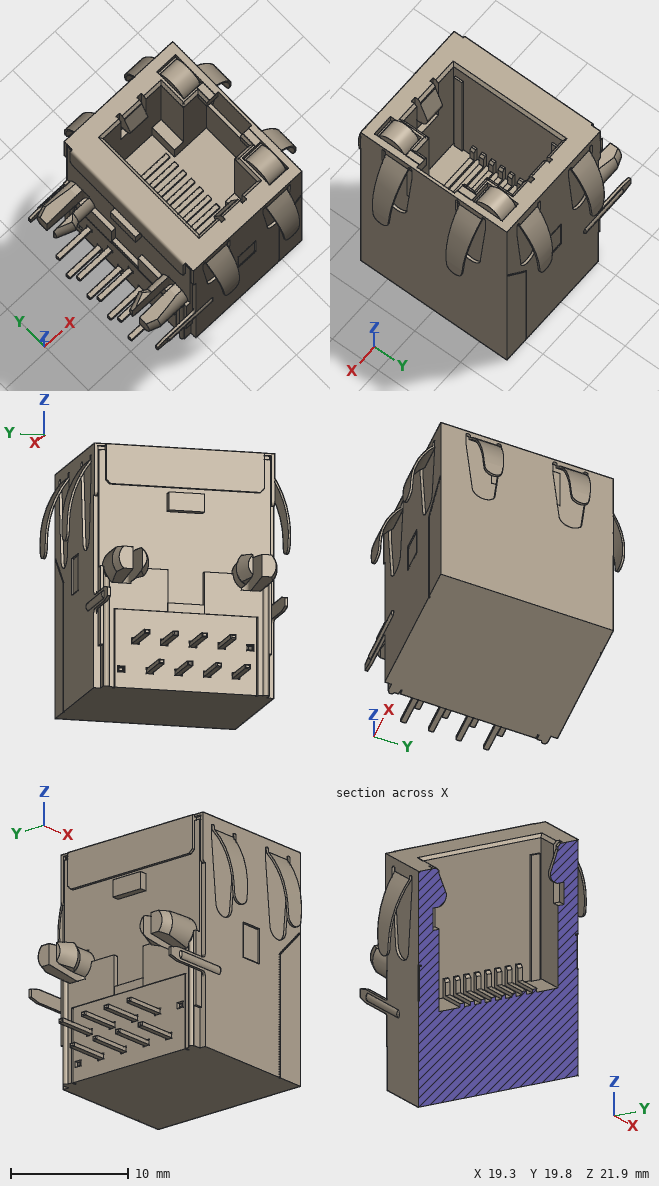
import cadquery as cq
import math


TOP_Z = 21.35
FRONT_X = 13.51
HALF_WIDTH = 7.97
SHEET = 0.26
SHELL_EDGE_X = 0.96
LIP_BOTTOM_Z = 16.8
LIP_RADIUS = 0.28

HOUSING_FACE_X = 0.68
HOUSING_HALF_WIDTH = 7.58
HOUSING_GAP = 0.1
BASE_FACE_X = 0.22
BASE_TOP_Z = 10.53
BASE_STEP_Z = 3.68
BASE_LOWER_HALF_WIDTH = 7.35
BASE_NOTCH_HALF_WIDTH = 1.62
BASE_NOTCH_BOTTOM_Z = 7.65
INSERT_HALF_WIDTH = 6.37
INSERT_TOP_Z = 6.85
INSERT_RECESS = 0.07
INSERT_GROOVE = 0.1
RIB_INNER_Y = 6.79
RIB_OUTER_Y = 7.31
RIB_RAMP_Z = 9.5

FLAP_HALF_WIDTH = 6.99
FLAP_BOTTOM_Z = 17.83
FLAP_CORNER = 0.35
FLAP_FOLD_RADIUS = 0.25
RELIEF_BOTTOM_Z = 20.8
RELIEF_TOP_Z = 21.15
TAB_HALF_WIDTH = 1.55
TAB_BOTTOM_Z = 15.72
TAB_TOP_Z = 17.3

SPRING_RADIUS = 8.94
SPRING_SHEET = 0.2
SPRING_TANGENT_Z = 14.67
SPRING_BOTTOM_Z = 13.27
SPRING_REACH_SIDE = 9.88 - HALF_WIDTH
SPRING_REACH_FRONT = 15.77 - FRONT_X
SPRING_SIDE_X = (3.42, 10.53)
SPRING_FRONT_Y = (-4.0, 4.0)
SPRING_ROOT_HALF = 1.23
SPRING_TANGENT_HALF = 0.88
SPRING_TIP_HALF = 0.8
SPRING_TIP_Z = 14.05
SLOT_WIDTH = 0.4
SLOT_BEND_Z = 19.35
SLOT_LOWER_HALF = 1.05
SLOT_LOWER_Z = 13.47
SLOT_BOTTOM_Z = 12.55

WINDOW_X = (6.02, 8.08)
WINDOW_Z = (9.64, 12.83)
LATCH_GAP = 0.09
SEAM_X = 10.8
SEAM_BEND_Z = 11.35
SEAM_END = (13.38, 13.97)
SEAM_WIDTH = 0.09

PIN_TIP_X = -3.53
SHELL_PIN_Z = 7.47
SHELL_PIN_HALF = 0.61
SHELL_PIN_TIP_HALF = 0.37
SHELL_PIN_TAPER_X = -2.55
SHELL_PIN_ROOT_RADIUS = 0.35
RIDGE_X = (-2.43, 2.98)
RIDGE_HALF = 0.37
RIDGE_HEIGHT = 0.18
RIDGE_END = 0.15
SIGNAL_PITCH = 2.55
SIGNAL_COUNT = 5
SIGNAL_ROWS = ((4.45, 4.16, 4), (5.72, 1.62, 0))
SIGNAL_WIDTH = 0.48
SIGNAL_THICK = 0.37
SIGNAL_POINT = 0.09
SIGNAL_CUT_X = 0.4
SIGNAL_HOLE_GAP = 0.09

PEG_Y = 5.58
PEG_Z = BASE_TOP_Z
PEG_RADIUS = 1.7
PEG_TIP_RADIUS = 1.35
PEG_TAPER_X = -2.56
PEG_FLAT_ROOT = 1.4
PEG_FLAT_TIP = 0.96
PEG_SLOT = (4.88, 5.72)
PEG_SLOT_X = 0.68
BARB_ROOT_RADIUS = 1.42
BARB_START_X = -1.27
BARB_X = -1.86
BARB_TIP_RADIUS = 1.1

SOCKET_FLOOR_Z = 8.32
SOCKET_BACK_X = 3.33
SOCKET_HALF = 5.91
SOCKET_LED_X = 10.16
KEY_HALF = 3.15
KEY_X = 11.9
LATCH_HALF = 2.05
SOCKET_FRONT_X = 13.23
SOCKET_BEVEL = 0.28
LUG_BOTTOM_Z = 20.04
LUG_TOP_DROP = 0.13
LUG_OUTER_Y = 3.61
FRONT_LEDGE_X = 12.88
FRONT_LEDGE_Z = 15.55
PLUG_STOP_X = 9.1
PLUG_STOP_Z = 10.51
BACK_RIB_Y = (4.86, 5.74)
BACK_RIB_DEPTH = 0.18
BACK_RIB_TOP_Z = 19.7

CLIP_X = (5.83, 7.88)
CLIP_TOP_Y = 6.05
CLIP_TOP_Z = 21.15
CLIP_CREST_Y = 5.17
CLIP_CREST_Z = 18.83
CLIP_BOTTOM_Z = 17.74
CLIP_CURL = 0.09
CLIP_POCKET_X = (5.43, 8.39)
CLIP_POCKET_Y = 6.5
CLIP_POCKET_BOTTOM_Z = 15.77

CONTACT_COUNT = 8
CONTACT_PITCH = 1.03
CONTACT_WIDTH = 0.45
CONTACT_END_X = 8.78
CONTACT_LEG_X = 3.75
CONTACT_CHAMFER_X = 3.5
CONTACT_THICK = 0.33
CONTACT_LEG_HEIGHT = 1.75

LAMP_X = (10.77, 12.75)
LAMP_Y = 5.28
LAMP_RADIUS = 1.53
LAMP_TOP_Z = 21.9
LAMP_POCKET_X = (10.69, 12.88)
LAMP_POCKET_Y = (3.61, 6.96)
LAMP_POCKET_BOTTOM_Z = 20.65

OVERLAP = 0.1


def block(x_range, y_range, z_range):
    """Box spanning the given X, Y and Z ranges."""
    ranges = (x_range, y_range, z_range)
    sizes = [high - low for low, high in ranges]
    lows = [low for low, high in ranges]
    return cq.Workplane("XY").box(*sizes, centered=False).translate(tuple(lows))


def both_sides(solid):
    """The solid together with its mirror image across Y = 0."""
    return solid.union(solid.mirror("XZ"))


def side_plate(outline, y_range):
    """Extrude an outline drawn on the XZ plane so that it spans the Y range."""
    return outline.extrude(y_range[0] - y_range[1]).translate((0, y_range[0], 0))


def make_shell_and_housing():
    side_y = (-HALF_WIDTH, HALF_WIDTH)
    housing_y = (-HOUSING_HALF_WIDTH, HOUSING_HALF_WIDTH)
    housing_x = (HOUSING_FACE_X, SHELL_EDGE_X + OVERLAP)
    body = block((SHELL_EDGE_X, FRONT_X), side_y, (0, TOP_Z))
    lip = block(housing_x, side_y, (LIP_BOTTOM_Z, TOP_Z))
    lip = lip.edges("|Y and <X and <Z").fillet(LIP_RADIUS)
    body = body.union(lip).union(block(housing_x, housing_y, (0, TOP_Z)))
    gap_y = (HOUSING_HALF_WIDTH, HOUSING_HALF_WIDTH + HOUSING_GAP)
    gap = block((HOUSING_FACE_X, SHELL_EDGE_X), gap_y, (0, RELIEF_TOP_Z))
    lower_gap_y = (BASE_LOWER_HALF_WIDTH, HOUSING_HALF_WIDTH)
    gap = gap.union(block((HOUSING_FACE_X, SHELL_EDGE_X), lower_gap_y, (0, BASE_STEP_Z)))
    return body.cut(both_sides(gap))


def make_base():
    """Lower housing block on the board side, with the pin insert set into it."""
    base_x = (BASE_FACE_X, SHELL_EDGE_X + OVERLAP)
    upper_y = (-HOUSING_HALF_WIDTH, HOUSING_HALF_WIDTH)
    lower_y = (-BASE_LOWER_HALF_WIDTH, BASE_LOWER_HALF_WIDTH)
    base = block(base_x, upper_y, (BASE_STEP_Z, BASE_TOP_Z))
    base = base.union(block(base_x, lower_y, (0, BASE_STEP_Z)))

    notch_y = (-BASE_NOTCH_HALF_WIDTH, BASE_NOTCH_HALF_WIDTH)
    notch = block((BASE_FACE_X, HOUSING_FACE_X), notch_y, (BASE_NOTCH_BOTTOM_Z, BASE_TOP_Z))
    insert_y = (-INSERT_HALF_WIDTH, INSERT_HALF_WIDTH)
    recess = block((BASE_FACE_X, BASE_FACE_X + INSERT_RECESS), insert_y, (0, INSERT_TOP_Z))
    groove_y = (INSERT_HALF_WIDTH - INSERT_GROOVE, INSERT_HALF_WIDTH)
    groove = block((BASE_FACE_X, HOUSING_FACE_X), groove_y, (0, INSERT_TOP_Z))
    tongue_z = (INSERT_TOP_Z, BASE_NOTCH_BOTTOM_Z)
    tongue = block((BASE_FACE_X, BASE_FACE_X + INSERT_RECESS / 2), notch_y, tongue_z)
    base = base.cut(notch).cut(tongue).cut(recess).cut(both_sides(groove))

    rib = (
        cq.Workplane("XY")
        .moveTo(BASE_FACE_X + OVERLAP, RIB_INNER_Y)
        .lineTo(BASE_FACE_X, RIB_INNER_Y)
        .threePointArc((0, (RIB_INNER_Y + RIB_OUTER_Y) / 2), (BASE_FACE_X, RIB_OUTER_Y))
        .lineTo(BASE_FACE_X + OVERLAP, RIB_OUTER_Y)
        .close()
        .extrude(BASE_TOP_Z)
    )
    ramp = (
        cq.Workplane("XZ")
        .polyline([(0, RIB_RAMP_Z), (BASE_FACE_X, BASE_TOP_Z), (0, BASE_TOP_Z)])
        .close()
    )
    rib = rib.cut(side_plate(ramp, (RIB_INNER_Y, RIB_OUTER_Y)))
    return base.union(both_sides(rib))


def make_flap():
    """Sheet folded down over the board side, rounded at the fold."""
    flap_x = (HOUSING_FACE_X - SHEET, HOUSING_FACE_X + OVERLAP)
    flap = block(flap_x, (-FLAP_HALF_WIDTH, FLAP_HALF_WIDTH), (FLAP_BOTTOM_Z, TOP_Z))
    flap = flap.edges("|X and <Z").chamfer(FLAP_CORNER)
    return flap.edges("|Y and <X and >Z").fillet(FLAP_FOLD_RADIUS)


def make_fold_relief():
    relief_x = (HOUSING_FACE_X, HOUSING_FACE_X + SHEET)
    relief_y = (FLAP_HALF_WIDTH, HOUSING_HALF_WIDTH)
    return both_sides(block(relief_x, relief_y, (RELIEF_BOTTOM_Z, RELIEF_TOP_Z)))


def make_stop_tab():
    tab_x = (0, HOUSING_FACE_X + OVERLAP)
    return block(tab_x, (-TAB_HALF_WIDTH, TAB_HALF_WIDTH), (TAB_BOTTOM_Z, TAB_TOP_Z))


def spring_root_z(reach):
    """Height at which a spring of the given reach leaves the sheet."""
    rise = math.sqrt(SPRING_RADIUS**2 - (SPRING_RADIUS - reach) ** 2)
    return SPRING_TANGENT_Z + rise


def make_spring_slot(reach):
    """Opening around a spring in a sheet whose outer face is Y = 0 and faces -Y."""
    root_z = spring_root_z(reach)
    slot_z = root_z + SLOT_WIDTH / 2
    inner = SPRING_ROOT_HALF
    middle = inner + SLOT_WIDTH / 2
    outer = inner + SLOT_WIDTH
    outline = (
        cq.Workplane("XZ")
        .moveTo(-outer, slot_z)
        .threePointArc((-middle, slot_z + SLOT_WIDTH / 2), (-inner, slot_z))
        .lineTo(-inner, root_z)
        .lineTo(inner, root_z)
        .lineTo(inner, slot_z)
        .threePointArc((middle, slot_z + SLOT_WIDTH / 2), (outer, slot_z))
        .lineTo(outer, SLOT_BEND_Z)
        .lineTo(SLOT_LOWER_HALF, SLOT_LOWER_Z)
        .threePointArc((0, SLOT_BOTTOM_Z), (-SLOT_LOWER_HALF, SLOT_LOWER_Z))
        .lineTo(-outer, SLOT_BEND_Z)
        .close()
    )
    return side_plate(outline, (0, SHEET))


def make_spring(reach):
    """Bowed spring leaving the plane Y = 0 toward -Y, tapering to a rounded tip."""
    inner_radius = SPRING_RADIUS - SPRING_SHEET
    centre_y = SPRING_RADIUS - reach
    start = math.acos(centre_y / SPRING_RADIUS) + SPRING_SHEET / SPRING_RADIUS

    def on_bow(radius, angle):
        return (centre_y - radius * math.cos(angle), SPRING_TANGENT_Z + radius * math.sin(angle))

    bow = (
        cq.Workplane("YZ")
        .moveTo(*on_bow(SPRING_RADIUS, start))
        .threePointArc(on_bow(SPRING_RADIUS, start / 2), on_bow(SPRING_RADIUS, 0))
        .lineTo(-reach, SPRING_BOTTOM_Z)
        .lineTo(-reach + SPRING_SHEET, SPRING_BOTTOM_Z)
        .lineTo(*on_bow(inner_radius, 0))
        .threePointArc(on_bow(inner_radius, start / 2), on_bow(inner_radius, start))
        .close()
        .extrude(SPRING_ROOT_HALF, both=True)
    )
    root_z = spring_root_z(reach)
    tongue = (
        cq.Workplane("XZ")
        .moveTo(-SPRING_ROOT_HALF, TOP_Z)
        .lineTo(SPRING_ROOT_HALF, TOP_Z)
        .lineTo(SPRING_ROOT_HALF, root_z)
        .lineTo(SPRING_TANGENT_HALF, SPRING_TANGENT_Z)
        .lineTo(SPRING_TIP_HALF, SPRING_TIP_Z)
        .threePointArc((0, SPRING_BOTTOM_Z), (-SPRING_TIP_HALF, SPRING_TIP_Z))
        .lineTo(-SPRING_TANGENT_HALF, SPRING_TANGENT_Z)
        .lineTo(-SPRING_ROOT_HALF, root_z)
        .close()
    )
    return bow.intersect(side_plate(tongue, (-reach, SHEET)))


def add_springs(body):
    side_slot = make_spring_slot(SPRING_REACH_SIDE)
    side_spring = make_spring(SPRING_REACH_SIDE)
    for x in SPRING_SIDE_X:
        place = (x, -HALF_WIDTH, 0)
        body = body.cut(both_sides(side_slot.translate(place)))
        body = body.union(both_sides(side_spring.translate(place)))
    front_slot = make_spring_slot(SPRING_REACH_FRONT).rotate((0, 0, 0), (0, 0, 1), 90)
    front_spring = make_spring(SPRING_REACH_FRONT).rotate((0, 0, 0), (0, 0, 1), 90)
    for y in SPRING_FRONT_Y:
        place = (FRONT_X, y, 0)
        body = body.cut(front_slot.translate(place)).union(front_spring.translate(place))
    return body


def make_windows():
    """Latch windows in the side sheets, each filled by a housing latch up to a narrow gap."""
    window_y = (HALF_WIDTH - SHEET, HALF_WIDTH)
    window = block(WINDOW_X, window_y, WINDOW_Z)
    latch_x = (WINDOW_X[0], WINDOW_X[1] - LATCH_GAP)
    latch_z = (WINDOW_Z[0], WINDOW_Z[1] - LATCH_GAP)
    latch = block(latch_x, (window_y[0], HALF_WIDTH - LATCH_GAP), latch_z)
    return both_sides(window.cut(latch))


def make_seams():
    """Narrow groove where the front panel overlaps each side sheet."""
    end_x, end_z = SEAM_END
    outline = (
        cq.Workplane("XZ")
        .moveTo(SEAM_X, 0)
        .lineTo(SEAM_X, SEAM_BEND_Z)
        .lineTo(end_x, end_z)
        .lineTo(end_x, end_z - SEAM_WIDTH * math.sqrt(2))
        .lineTo(SEAM_X + SEAM_WIDTH, SEAM_BEND_Z - SEAM_WIDTH * (math.sqrt(2) - 1))
        .lineTo(SEAM_X + SEAM_WIDTH, 0)
        .close()
    )
    return both_sides(side_plate(outline, (HALF_WIDTH - SEAM_WIDTH, HALF_WIDTH)))


def make_shell_pins():
    """Flat pins cut from the side sheets, each stiffened by a raised ridge."""
    upper = SHELL_PIN_Z + SHELL_PIN_HALF
    lower = SHELL_PIN_Z - SHELL_PIN_HALF
    radius = SHELL_PIN_ROOT_RADIUS
    flare_x = SHELL_EDGE_X - radius
    root_x = SHELL_EDGE_X + OVERLAP
    outline = (
        cq.Workplane("XZ")
        .moveTo(PIN_TIP_X, SHELL_PIN_Z - SHELL_PIN_TIP_HALF)
        .lineTo(PIN_TIP_X, SHELL_PIN_Z + SHELL_PIN_TIP_HALF)
        .lineTo(SHELL_PIN_TAPER_X, upper)
        .lineTo(flare_x, upper)
        .radiusArc((SHELL_EDGE_X, upper + radius), -radius)
        .lineTo(root_x, upper + radius)
        .lineTo(root_x, lower - radius)
        .lineTo(SHELL_EDGE_X, lower - radius)
        .radiusArc((flare_x, lower), -radius)
        .lineTo(SHELL_PIN_TAPER_X, lower)
        .close()
    )
    pin = side_plate(outline, (HALF_WIDTH - SHEET, HALF_WIDTH))
    ridge = (
        cq.Workplane("YZ")
        .moveTo(0, -RIDGE_HALF)
        .threePointArc((RIDGE_HEIGHT, 0), (0, RIDGE_HALF))
        .close()
        .extrude(RIDGE_X[1] - RIDGE_X[0])
        .edges("%CIRCLE")
        .chamfer(RIDGE_END)
        .translate((RIDGE_X[0], HALF_WIDTH, SHELL_PIN_Z))
    )
    return both_sides(pin.union(ridge))


def signal_bar(y, z, x_range, margin=0.0):
    """Bar along X with the section of a signal pin, grown by a margin on all four sides."""
    half_width = SIGNAL_WIDTH / 2 + margin
    half_thick = SIGNAL_THICK / 2 + margin
    return block(x_range, (y - half_width, y + half_width), (z - half_thick, z + half_thick))


def add_signal_pins(body):
    """Two staggered rows of pins standing in clearance holes; one pin of each row is cut off."""
    for first_y, z, cut_off in SIGNAL_ROWS:
        for index in range(SIGNAL_COUNT):
            y = first_y - index * SIGNAL_PITCH
            tip_x = SIGNAL_CUT_X if index == cut_off else PIN_TIP_X
            hole = signal_bar(y, z, (BASE_FACE_X, HOUSING_FACE_X), SIGNAL_HOLE_GAP)
            pin = signal_bar(y, z, (tip_x, HOUSING_FACE_X + OVERLAP))
            body = body.cut(hole).union(pin.faces("<X").chamfer(SIGNAL_POINT))
    return body


def make_pegs():
    """Split pegs: a plain outer half and a barbed, springy inner half, both flattened in Z."""
    root_x = HOUSING_FACE_X + OVERLAP

    def turned(profile):
        points = [(PIN_TIP_X, 0), *profile, (root_x, 0)]
        solid = cq.Workplane("XY").polyline(points).close().revolve(360, (0, 0), (1, 0))
        return solid.translate((0, PEG_Y, PEG_Z))

    plain = turned(
        [(PIN_TIP_X, PEG_TIP_RADIUS), (PEG_TAPER_X, PEG_RADIUS), (root_x, PEG_RADIUS)]
    )
    barbed = turned(
        [
            (PIN_TIP_X, BARB_TIP_RADIUS),
            (BARB_X, PEG_RADIUS),
            (BARB_START_X, BARB_ROOT_RADIUS),
            (root_x, BARB_ROOT_RADIUS),
        ]
    )
    inner_edge, outer_edge = PEG_SLOT
    x_range = (PIN_TIP_X, root_x)
    z_range = (PEG_Z - PEG_RADIUS, PEG_Z + PEG_RADIUS)
    plain = plain.intersect(block(x_range, (outer_edge, PEG_Y + PEG_RADIUS), z_range))
    barbed = barbed.intersect(block(x_range, (PEG_Y - PEG_RADIUS, inner_edge), z_range))
    flats = (
        cq.Workplane("XZ")
        .polyline(
            [
                (PIN_TIP_X, PEG_Z - PEG_FLAT_TIP),
                (PIN_TIP_X, PEG_Z + PEG_FLAT_TIP),
                (0, PEG_Z + PEG_FLAT_ROOT),
                (root_x, PEG_Z + PEG_FLAT_ROOT),
                (root_x, PEG_Z - PEG_FLAT_ROOT),
                (0, PEG_Z - PEG_FLAT_ROOT),
            ]
        )
        .close()
    )
    envelope = side_plate(flats, (PEG_Y - PEG_RADIUS, PEG_Y + PEG_RADIUS))
    return both_sides(plain.union(barbed).intersect(envelope))


def make_peg_slots():
    """The split of each peg carried on into the housing, with a rounded root."""
    inner_edge, outer_edge = PEG_SLOT
    radius = (outer_edge - inner_edge) / 2
    slot = (
        cq.Workplane("XY")
        .workplane(offset=PEG_Z - PEG_FLAT_ROOT)
        .moveTo(0, inner_edge)
        .lineTo(PEG_SLOT_X, inner_edge)
        .threePointArc((PEG_SLOT_X + radius, inner_edge + radius), (PEG_SLOT_X, outer_edge))
        .lineTo(0, outer_edge)
        .close()
        .extrude(2 * PEG_FLAT_ROOT)
    )
    return both_sides(slot)


def make_socket():
    """Bevelled opening for the plug, widened for the plug latch behind two lugs."""
    half_outline = [
        (SOCKET_BACK_X, SOCKET_HALF),
        (SOCKET_LED_X, SOCKET_HALF),
        (SOCKET_LED_X, KEY_HALF),
        (KEY_X, KEY_HALF),
        (KEY_X, LATCH_HALF),
        (SOCKET_FRONT_X, LATCH_HALF),
    ]
    outline = half_outline + [(x, -y) for x, y in reversed(half_outline)]
    depth = TOP_Z - SOCKET_FLOOR_Z
    socket = cq.Workplane("XY").workplane(offset=SOCKET_FLOOR_Z).polyline(outline).close()
    socket = socket.extrude(depth)
    behind_lugs = block(
        (SOCKET_LED_X, SOCKET_FRONT_X), (-KEY_HALF, KEY_HALF), (SOCKET_FLOOR_Z, LUG_BOTTOM_Z)
    )
    ledge = block(
        (FRONT_LEDGE_X, SOCKET_FRONT_X), (-KEY_HALF, KEY_HALF), (SOCKET_FLOOR_Z, FRONT_LEDGE_Z)
    )
    plug_stop = block(
        (PLUG_STOP_X, SOCKET_LED_X), (KEY_HALF, SOCKET_HALF), (SOCKET_FLOOR_Z, PLUG_STOP_Z)
    )
    back_rib = block(
        (SOCKET_BACK_X, SOCKET_BACK_X + BACK_RIB_DEPTH), BACK_RIB_Y, (SOCKET_FLOOR_Z, BACK_RIB_TOP_Z)
    )
    socket = socket.union(behind_lugs).cut(ledge)
    socket = socket.cut(both_sides(plug_stop)).cut(both_sides(back_rib))

    bevel = SOCKET_BEVEL
    rim_half = [
        (SOCKET_BACK_X, SOCKET_HALF),
        (SOCKET_LED_X, SOCKET_HALF),
        (SOCKET_LED_X, KEY_HALF),
        (KEY_X, KEY_HALF),
    ]
    rim = rim_half + [(x, -y) for x, y in reversed(rim_half)]
    mouth = cq.Workplane("XY").workplane(offset=TOP_Z).polyline(rim).close()
    mouth = mouth.offset2D(bevel, "intersection").extrude(-bevel, taper=45)
    lug_top = block(
        (KEY_X + bevel, FRONT_LEDGE_X), (LATCH_HALF, LUG_OUTER_Y), (TOP_Z - LUG_TOP_DROP, TOP_Z)
    )
    return socket.union(mouth).union(both_sides(lug_top))


def make_clip_pockets():
    """Recesses in the two long socket walls around the shield springs, kept solid behind them."""
    pocket = block(CLIP_POCKET_X, (SOCKET_HALF, CLIP_POCKET_Y), (CLIP_POCKET_BOTTOM_Z, TOP_Z))
    backing = block(CLIP_X, (SOCKET_HALF, CLIP_POCKET_Y), (CLIP_BOTTOM_Z, TOP_Z))
    return both_sides(pocket.cut(backing))


def make_clips():
    """Bowed shield springs on the two long walls of the socket."""
    middle_z = (CLIP_CREST_Z + CLIP_BOTTOM_Z) / 2
    outline = (
        cq.Workplane("YZ")
        .moveTo(CLIP_TOP_Y, CLIP_TOP_Z)
        .lineTo(CLIP_CREST_Y, CLIP_CREST_Z)
        .threePointArc((CLIP_CREST_Y + CLIP_CURL, middle_z), (SOCKET_HALF, CLIP_BOTTOM_Z))
        .lineTo(CLIP_TOP_Y, CLIP_BOTTOM_Z)
        .close()
    )
    return both_sides(outline.extrude(CLIP_X[1] - CLIP_X[0]).translate((CLIP_X[0], 0, 0)))


def make_contacts():
    """Row of contacts lying on the socket floor, each with a leg against the back wall."""
    contacts = cq.Workplane("XY")
    bar_top = SOCKET_FLOOR_Z + CONTACT_THICK
    leg_top = SOCKET_FLOOR_Z + CONTACT_LEG_HEIGHT
    leg_shoulder = leg_top - (CONTACT_LEG_X - CONTACT_CHAMFER_X)
    back_x = SOCKET_BACK_X - OVERLAP
    outline = cq.Workplane("XZ").polyline(
        [
            (back_x, SOCKET_FLOOR_Z - OVERLAP),
            (CONTACT_END_X, SOCKET_FLOOR_Z - OVERLAP),
            (CONTACT_END_X, bar_top),
            (CONTACT_LEG_X, bar_top),
            (CONTACT_LEG_X, leg_shoulder),
            (CONTACT_CHAMFER_X, leg_top),
            (back_x, leg_top),
        ]
    )
    contact = side_plate(outline.close(), (-CONTACT_WIDTH / 2, CONTACT_WIDTH / 2))
    for index in range(CONTACT_COUNT):
        y = (index - (CONTACT_COUNT - 1) / 2) * CONTACT_PITCH
        contacts = contacts.union(contact.translate((0, y, 0)))
    return contacts


def make_lamp_pockets():
    pocket = block(LAMP_POCKET_X, LAMP_POCKET_Y, (LAMP_POCKET_BOTTOM_Z, TOP_Z))
    return both_sides(pocket)


def make_lamps():
    """Round-topped indicator lamps standing in their pockets."""
    centre_z = LAMP_TOP_Z - LAMP_RADIUS
    length = LAMP_X[1] - LAMP_X[0]
    dome = cq.Workplane("YZ").circle(LAMP_RADIUS).extrude(length)
    dome = dome.translate((LAMP_X[0], LAMP_Y, centre_z))
    return both_sides(dome)


result = make_shell_and_housing().union(make_base())
result = result.cut(make_fold_relief()).union(make_flap()).union(make_stop_tab())
result = result.cut(make_socket()).cut(make_clip_pockets()).union(make_clips())
result = result.union(make_contacts())
result = result.cut(make_lamp_pockets()).union(make_lamps())
result = result.cut(make_windows()).cut(make_seams())
result = result.union(make_pegs()).cut(make_peg_slots())
result = add_signal_pins(result.union(make_shell_pins()))
result = add_springs(result)